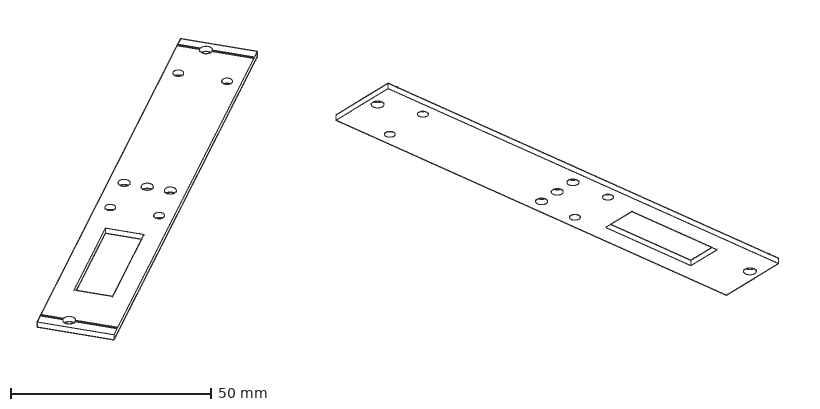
import cadquery as cq

PANEL_WIDTH = 20.0
PANEL_HEIGHT = 128.5
TOTAL_THICKNESS = 1.7
RELIEF_HEIGHT = 0.1
PLATE_THICKNESS = TOTAL_THICKNESS - RELIEF_HEIGHT

RAIL_SPACING = 122.5
RAIL_LINE_WIDTH = 0.5
RACK_HOLE_DIAMETER = 3.2
RACK_HOLE_EDGE_OFFSET = 7.5

BOARD_HOLE_DIAMETER = 2.7
BOARD_HOLE_SPACING_X = 12.7
BOARD_HOLE_UPPER_Y = 49.65
BOARD_HOLE_LOWER_Y = -11.25

LAMP_HOLE_DIAMETER = 3.0
LAMP_HOLE_PITCH = 6.0
LAMP_ROW_Y = 0.0

WINDOW_WIDTH = 10.0
WINDOW_HEIGHT = 28.0
WINDOW_CENTER_Y = -34.25

RAIL_LEVELS = (RAIL_SPACING / 2, -RAIL_SPACING / 2)


def make_plate():
    return cq.Workplane("XY").box(
        PANEL_WIDTH, PANEL_HEIGHT, PLATE_THICKNESS, centered=(True, True, False)
    )


def add_rail_lines(body):
    """Raise a full-width line along each rack rail."""
    for level in RAIL_LEVELS:
        line = (
            cq.Workplane("XY")
            .center(0, level)
            .rect(PANEL_WIDTH, RAIL_LINE_WIDTH)
            .extrude(TOTAL_THICKNESS)
        )
        body = body.union(line)
    return body


def drill_through(body, points, diameter):
    """Cut a round hole through the full thickness at each point."""
    drills = cq.Workplane("XY").pushPoints(points).circle(diameter / 2).extrude(TOTAL_THICKNESS)
    return body.cut(drills)


def cut_window(body):
    window = (
        cq.Workplane("XY")
        .center(0, WINDOW_CENTER_Y)
        .rect(WINDOW_WIDTH, WINDOW_HEIGHT)
        .extrude(TOTAL_THICKNESS)
    )
    return body.cut(window)


rack_hole_x = -PANEL_WIDTH / 2 + RACK_HOLE_EDGE_OFFSET
rack_holes = [(rack_hole_x, level) for level in RAIL_LEVELS]

board_holes = [
    (side * BOARD_HOLE_SPACING_X / 2, level)
    for side in (-1, 1)
    for level in (BOARD_HOLE_UPPER_Y, BOARD_HOLE_LOWER_Y)
]

lamp_holes = [(column * LAMP_HOLE_PITCH, LAMP_ROW_Y) for column in (-1, 0, 1)]

panel = add_rail_lines(make_plate())
panel = drill_through(panel, rack_holes, RACK_HOLE_DIAMETER)
panel = drill_through(panel, board_holes, BOARD_HOLE_DIAMETER)
panel = drill_through(panel, lamp_holes, LAMP_HOLE_DIAMETER)
result = cut_window(panel)